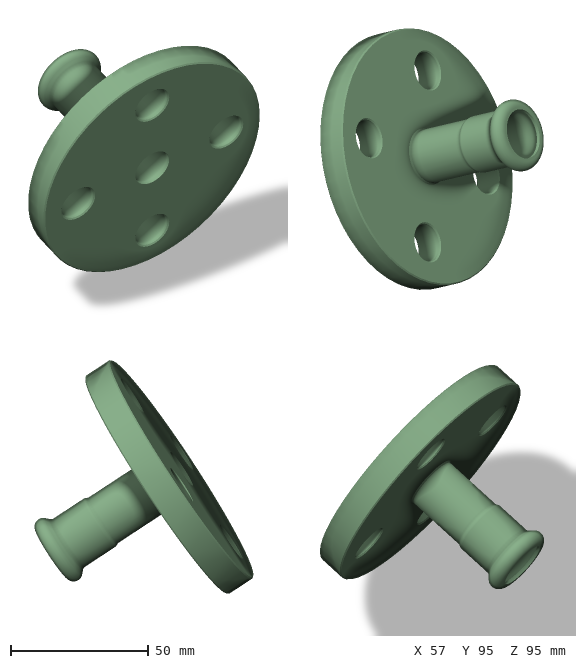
import cadquery as cq
import math

LENGTH = 57.0
FLANGE_RADIUS = 47.5
FLANGE_THICKNESS = 10.9
EDGE_CHAMFER = 0.5

BOLT_COUNT = 4
BOLT_CIRCLE_RADIUS = 32.5
BOLT_HOLE_DIAMETER = 14.0

BEAD_RADIUS = 26.5 / 2
BEAD_ROUND = 3.0
FLANK_ANGLE = 45.0
FLANK_FOOT_ROUND = 1.7
SOCKET_RADIUS = 21.0 / 2
SOCKET_END_X = 20.9
NECK_RADIUS = 19.8 / 2
STEP_ANGLE = 30.0
STEP_ROUND = 1.8
WELD_SIZE = 0.6

WALL = 1.3
MOUTH_RADIUS = 9.1
BORE_RADIUS = 7.4

FLANGE_FACE_X = LENGTH - FLANGE_THICKNESS
BEAD_CENTRE_RADIUS = BEAD_RADIUS - BEAD_ROUND
SEAL_GROOVE_START_X = WALL
SOCKET_BORE_RADIUS = SOCKET_RADIUS - WALL


def ease_down(profile, crest_x, crest_radius, crest_round, foot_radius, foot_round, angle, starts_at_crest):
    """Step down by a convex arc, a cone at the given angle to the axis and a concave arc.

    The crest is where the convex arc is parallel to the axis. The arc either starts there
    or starts earlier, at the profile's current point, and passes over the crest.
    """

    def arc_offset(radius, degrees):
        turn = math.radians(degrees)
        return radius * math.sin(turn), radius * (1 - math.cos(turn))

    crest_length, crest_drop = arc_offset(crest_round, angle)
    foot_length, foot_drop = arc_offset(foot_round, angle)
    via_length, via_drop = arc_offset(crest_round, angle / 2 if starts_at_crest else 0)
    mid_foot_length, mid_foot_drop = arc_offset(foot_round, angle / 2)
    cone_drop = crest_radius - foot_radius - crest_drop - foot_drop
    cone_start_x = crest_x + crest_length
    cone_end_x = cone_start_x + cone_drop / math.tan(math.radians(angle))
    foot_x = cone_end_x + foot_length
    return (
        profile.threePointArc(
            (crest_x + via_length, crest_radius - via_drop),
            (cone_start_x, crest_radius - crest_drop),
        )
        .lineTo(cone_end_x, foot_radius + foot_drop)
        .threePointArc((foot_x - mid_foot_length, foot_radius + mid_foot_drop), (foot_x, foot_radius))
    )


def bead_contour(profile, start_x, inset):
    """Bead and flank, moved inwards by the inset, from its front rim to the socket wall."""
    bead_round = BEAD_ROUND - inset
    crest_radius = BEAD_RADIUS - inset
    profile = profile.lineTo(start_x, BEAD_CENTRE_RADIUS)
    foot_radius = SOCKET_RADIUS - inset
    foot_round = FLANK_FOOT_ROUND + inset
    return ease_down(
        profile, BEAD_ROUND, crest_radius, bead_round, foot_radius, foot_round, FLANK_ANGLE, False
    )


def revolve_about_x(profile):
    return profile.close().revolve(360, (0, 0, 0), (1, 0, 0))


def outer_body():
    profile = bead_contour(cq.Workplane("XY"), 0, 0)
    profile = profile.lineTo(SOCKET_END_X, SOCKET_RADIUS)
    profile = ease_down(
        profile, SOCKET_END_X, SOCKET_RADIUS, STEP_ROUND, NECK_RADIUS, STEP_ROUND, STEP_ANGLE, True
    )
    profile = (
        profile.lineTo(FLANGE_FACE_X - WELD_SIZE, NECK_RADIUS)
        .lineTo(FLANGE_FACE_X, NECK_RADIUS + WELD_SIZE)
        .lineTo(FLANGE_FACE_X, FLANGE_RADIUS - EDGE_CHAMFER)
        .lineTo(FLANGE_FACE_X + EDGE_CHAMFER, FLANGE_RADIUS)
        .lineTo(LENGTH - EDGE_CHAMFER, FLANGE_RADIUS)
        .lineTo(LENGTH, FLANGE_RADIUS - EDGE_CHAMFER)
        .lineTo(LENGTH, 0)
    )
    return revolve_about_x(profile)


def inner_cavity():
    """Mouth, seal groove under the bead, pipe socket and through bore."""
    profile = (
        cq.Workplane("XY")
        .lineTo(0, MOUTH_RADIUS)
        .lineTo(SEAL_GROOVE_START_X, MOUTH_RADIUS)
    )
    profile = bead_contour(profile, SEAL_GROOVE_START_X, WALL)
    profile = (
        profile.lineTo(SOCKET_END_X, SOCKET_BORE_RADIUS)
        .lineTo(SOCKET_END_X, BORE_RADIUS)
        .lineTo(LENGTH, BORE_RADIUS)
        .lineTo(LENGTH, 0)
    )
    return revolve_about_x(profile)


def bolt_holes():
    """Through holes, chamfered at both flange faces."""
    radius = BOLT_HOLE_DIAMETER / 2
    profile = (
        cq.Workplane("XY")
        .moveTo(FLANGE_FACE_X, 0)
        .lineTo(FLANGE_FACE_X, radius + EDGE_CHAMFER)
        .lineTo(FLANGE_FACE_X + EDGE_CHAMFER, radius)
        .lineTo(LENGTH - EDGE_CHAMFER, radius)
        .lineTo(LENGTH, radius + EDGE_CHAMFER)
        .lineTo(LENGTH, 0)
    )
    hole = revolve_about_x(profile).translate((0, BOLT_CIRCLE_RADIUS, 0))
    holes = cq.Workplane("XY")
    for i in range(BOLT_COUNT):
        holes = holes.add(hole.rotate((0, 0, 0), (1, 0, 0), i * 360 / BOLT_COUNT))
    return holes.combine()


result = outer_body().cut(inner_cavity()).cut(bolt_holes())